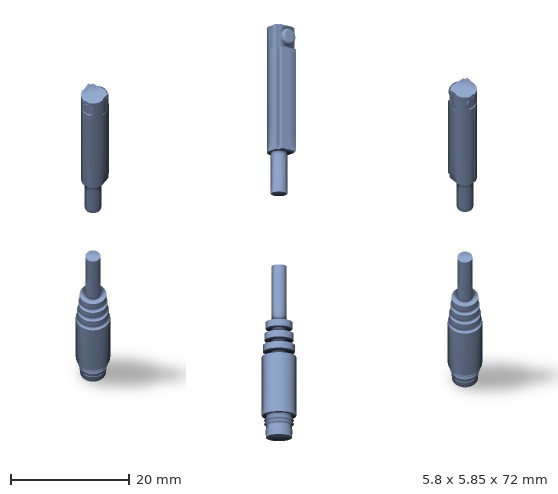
import cadquery as cq

total_height = 72.0
sensor_radius = 2.0
sensor_length = 21.95
sensor_bottom = total_height - sensor_length
shoulder_y = 1.65
side_front_y = -0.15
rib_half_width = 1.5
rib_back_y = 2.7
stub_diameter = 2.8
stub_length = 7.2

head_length = 4.0
head_bottom = total_height - head_length
head_back_y = 2.0
side_recess_depth = 0.1
side_recess_width = 1.0
front_groove_width = 0.7
front_groove_depth = 0.15
screw_z = total_height - 2.0
screw_hole_diameter = 2.6
screw_hole_floor_y = -1.6
screw_face_diameter = 2.15
screw_face_y = -1.8
button_diameter = 2.7
button_back_y = 2.95
button_chamfer = 0.3

plug_radius = 5.8 / 2
plug_bottom = 3.8
plug_top = 14.2
cable_radius = 2.5 / 2
cable_top = 30.1
flange_count = 3
flange_thickness = 1.15
flange_pitch = 2.0
flange_radius_step = 0.2
nose_radius = 4.4 / 2
nose_collar_radius = 2.3
nose_collar_top = 1.3
ridge_count = 2
ridge_radius = 2.5
ridge_pitch = 0.65
ridge_top = 3.3


def sensor_bar():
    """D-shaped bar, round at -Y, with a narrower rib along its +Y back."""
    outline = (
        cq.Workplane("XY", origin=(0, 0, sensor_bottom))
        .moveTo(-sensor_radius, side_front_y)
        .threePointArc((0, -sensor_radius), (sensor_radius, side_front_y))
        .lineTo(sensor_radius, shoulder_y)
        .lineTo(rib_half_width, shoulder_y)
        .lineTo(rib_half_width, rib_back_y)
        .lineTo(-rib_half_width, rib_back_y)
        .lineTo(-rib_half_width, shoulder_y)
        .lineTo(-sensor_radius, shoulder_y)
        .close()
    )
    return outline.extrude(sensor_length)


def rib_notch():
    """Cutter that lowers the rib beside the button."""
    return cq.Workplane("XY").box(
        2 * sensor_radius, rib_back_y - head_back_y, head_length, centered=(True, False, False)
    ).translate((0, head_back_y, head_bottom))


def side_recesses():
    """Shallow cutters in both flat sides of the head."""
    return (
        cq.Workplane("XY", origin=(0, side_recess_width / 2, head_bottom))
        .pushPoints([(-sensor_radius, 0), (sensor_radius, 0)])
        .rect(2 * side_recess_depth, side_recess_width)
        .extrude(head_length)
    )


def front_groove():
    """Full-length groove cutter in the round front."""
    return (
        cq.Workplane("XY", origin=(0, -sensor_radius, sensor_bottom))
        .rect(front_groove_width, 2 * front_groove_depth)
        .extrude(sensor_length)
    )


def disc_along_y(diameter, y_start, y_end):
    """Cylinder along Y, at the height of the screw and the button."""
    return (
        cq.Workplane("XZ", origin=(0, y_end, screw_z))
        .circle(diameter / 2)
        .extrude(y_end - y_start)
    )


def make_sensor():
    screw_hole = disc_along_y(screw_hole_diameter, -sensor_radius, screw_hole_floor_y)
    screw_face = disc_along_y(screw_face_diameter, screw_face_y, 0)
    button = disc_along_y(button_diameter, 0, button_back_y).faces(">Y").chamfer(button_chamfer)
    cable_stub = (
        cq.Workplane("XY", origin=(0, 0, sensor_bottom))
        .circle(stub_diameter / 2)
        .extrude(-stub_length)
    )
    body = sensor_bar().cut(rib_notch()).cut(side_recesses()).cut(front_groove())
    return body.cut(screw_hole).union(screw_face).union(button).union(cable_stub)


def make_connector():
    """Revolve the nose, ridges, plug, strain-relief flanges and cable."""
    profile = (
        cq.Workplane("XZ")
        .lineTo(nose_radius, 0)
        .lineTo(nose_collar_radius, nose_collar_top)
        .lineTo(nose_radius, nose_collar_top)
        .lineTo(nose_radius, ridge_top - ridge_count * ridge_pitch)
    )
    for index in reversed(range(ridge_count)):
        upper_root = ridge_top - index * ridge_pitch
        profile = profile.lineTo(ridge_radius, upper_root - ridge_pitch / 2)
        profile = profile.lineTo(nose_radius, upper_root)
    profile = (
        profile.lineTo(nose_radius, plug_bottom)
        .lineTo(plug_radius, plug_bottom)
        .lineTo(plug_radius, plug_top)
        .lineTo(cable_radius, plug_top)
    )
    for index in range(1, flange_count + 1):
        flange_top = plug_top + index * flange_pitch
        flange_radius = plug_radius - index * flange_radius_step
        profile = (
            profile.lineTo(cable_radius, flange_top - flange_thickness)
            .lineTo(flange_radius, flange_top - flange_thickness)
            .lineTo(flange_radius, flange_top)
            .lineTo(cable_radius, flange_top)
        )
    profile = profile.lineTo(cable_radius, cable_top).lineTo(0, cable_top).close()
    return profile.revolve(360, (0, 0, 0), (0, 1, 0))


sensor = make_sensor()
connector = make_connector()
result = cq.Compound.makeCompound([sensor.val(), connector.val()])